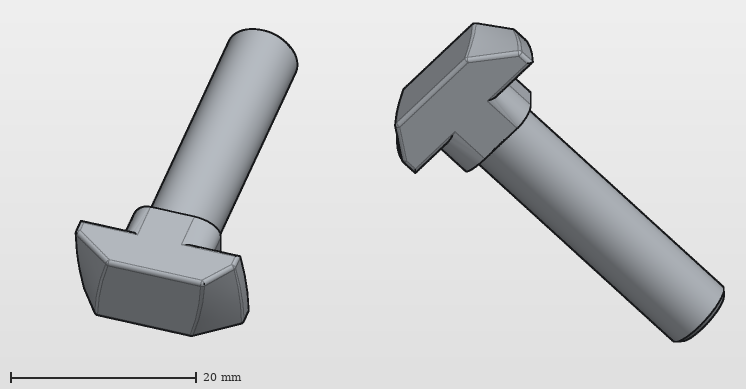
import cadquery as cq

total_length = 40.45
height = 8.55
half_height = height / 2

head_depth = 5.6
bevel_depth = 3.65
head_round = 0.5
back_half_widths = (9.55, 9.25, 8.5)
front_half_widths = (4.7, 5.7, 6.1)

neck_start = bevel_depth
neck_end = 9.65
neck_length = neck_end - neck_start
neck_half_width = 5.05
corner_short = 2.1
corner_long = 3.05

shank_diameter = 8.0
shank_chamfer = 0.55


def plane_at(y):
    """XZ plane at the given Y, with its normal pointing toward +Y."""
    return cq.Plane(origin=(0, y, 0), xDir=(-1, 0, 0), normal=(0, 1, 0))


def head_outline(y, half_widths):
    """Flat top and bottom joined by two bowed sides, unchanged by a half turn about Y."""
    top, middle, bottom = half_widths
    return (
        cq.Workplane(plane_at(y))
        .moveTo(top, half_height)
        .threePointArc((middle, 0), (bottom, -half_height))
        .lineTo(-top, -half_height)
        .threePointArc((-middle, 0), (-bottom, half_height))
        .close()
    )


def make_head():
    """Hammer head that narrows to its front face; only its bowed back edges stay sharp."""
    front_wire = head_outline(0, front_half_widths).val()
    back_wire = head_outline(bevel_depth, back_half_widths).val()
    bevel = cq.Workplane(cq.Solid.makeLoft([front_wire, back_wire], True))
    back = head_outline(bevel_depth, back_half_widths).extrude(head_depth - bevel_depth)
    return bevel.union(back).edges("(not >Y) or |X").fillet(head_round)


def round_corner(block, side, level, x_radius, z_radius):
    """Round one long edge of the neck block; side and level are the signs of its X and Z."""
    center_x = side * (neck_half_width - x_radius / 2)
    center_y = (neck_start + neck_end) / 2
    center_z = level * (half_height - z_radius / 2)
    corner = cq.Workplane("XY").box(x_radius, neck_length, z_radius)
    corner = corner.translate((center_x, center_y, center_z))
    rounding = (
        cq.Workplane(plane_at(neck_start))
        .center(-side * (neck_half_width - x_radius), level * (half_height - z_radius))
        .ellipse(x_radius, z_radius)
        .extrude(neck_length)
    )
    return block.cut(corner.cut(rounding))


def make_neck():
    """Rounded block that runs from inside the head to the shoulder on the shank."""
    block = cq.Workplane(plane_at(neck_start)).rect(2 * neck_half_width, height).extrude(neck_length)
    for turn in (1, -1):
        block = round_corner(block, -turn, turn, corner_short, corner_long)
        block = round_corner(block, turn, turn, corner_long, corner_short)
    return block


def make_shank():
    """Round shank with a chamfered end."""
    return (
        cq.Workplane(plane_at(head_depth))
        .circle(shank_diameter / 2)
        .extrude(total_length - head_depth)
        .faces(">Y")
        .chamfer(shank_chamfer)
    )


result = make_head().union(make_neck()).union(make_shank())